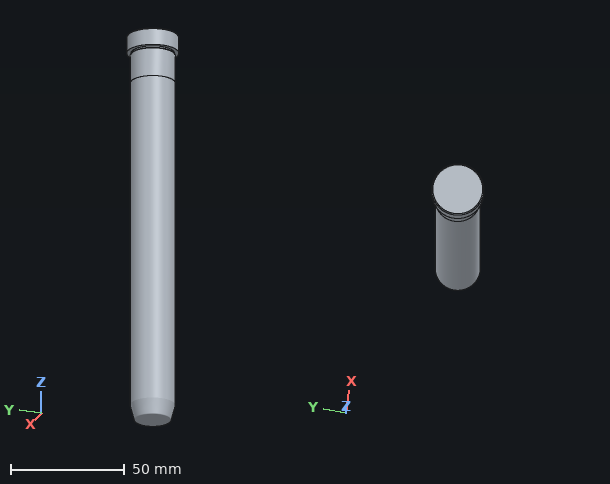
import cadquery as cq
import math

total_length = 180.0
shaft_diameter = 20.0
shaft_radius = shaft_diameter / 2

head_radius = 11.5
head_height = 8.0
head_chamfer = 0.5
head_bottom = total_length - head_height

groove_depth = 0.4
groove_length = 1.0
groove_radius = shaft_radius - groove_depth
groove_bottom = head_bottom - groove_length

collar_length = 14.0
joint_height = head_bottom - collar_length

taper_length = 7.0
taper_angle = 15.0
tip_round = 0.5
tip_radius = shaft_radius - taper_length * math.tan(math.radians(taper_angle))


def make_headed_collar():
    """Revolve the head, relief groove and collar as one body."""
    profile = (
        cq.Workplane("XZ")
        .moveTo(0, joint_height)
        .lineTo(shaft_radius, joint_height)
        .lineTo(shaft_radius, groove_bottom)
        .lineTo(groove_radius, groove_bottom + groove_depth)
        .lineTo(groove_radius, head_bottom)
        .lineTo(head_radius, head_bottom)
        .lineTo(head_radius, total_length - head_chamfer)
        .lineTo(head_radius - head_chamfer, total_length)
        .lineTo(0, total_length)
        .close()
    )
    return profile.revolve(360, (0, 0, 0), (0, 1, 0))


def make_shaft():
    """Revolve the shaft with its tapered lead-in, then round the tip edge."""
    profile = (
        cq.Workplane("XZ")
        .lineTo(tip_radius, 0)
        .lineTo(shaft_radius, taper_length)
        .lineTo(shaft_radius, joint_height)
        .lineTo(0, joint_height)
        .close()
    )
    shaft = profile.revolve(360, (0, 0, 0), (0, 1, 0))
    return shaft.faces("<Z").edges().fillet(tip_round)


headed_collar = make_headed_collar()
shaft = make_shaft()

result = cq.Compound.makeCompound([headed_collar.val(), shaft.val()])